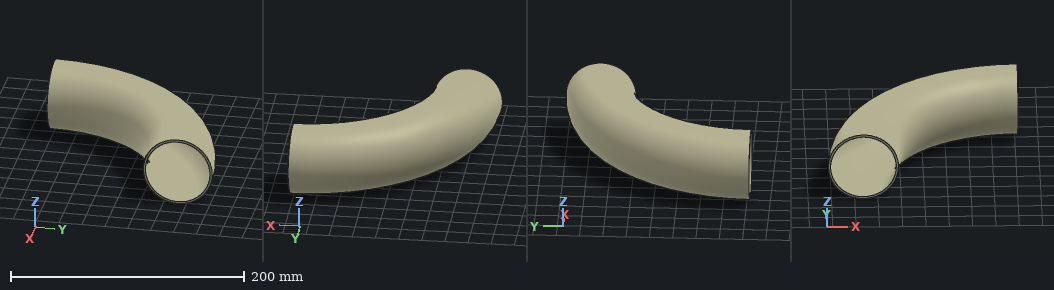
import cadquery as cq

outer_reach = 165.2
pipe_diameter = 60.3
wall = 2.0
bend_angle = 90.0

pipe_radius = pipe_diameter / 2
bore_radius = pipe_radius - wall
bend_radius = outer_reach - pipe_radius

result = (
    cq.Workplane("XZ")
    .center(-bend_radius, 0)
    .circle(pipe_radius)
    .circle(bore_radius)
    .revolve(bend_angle, (bend_radius, 1.7, 0), (bend_radius, 0, 0))
)